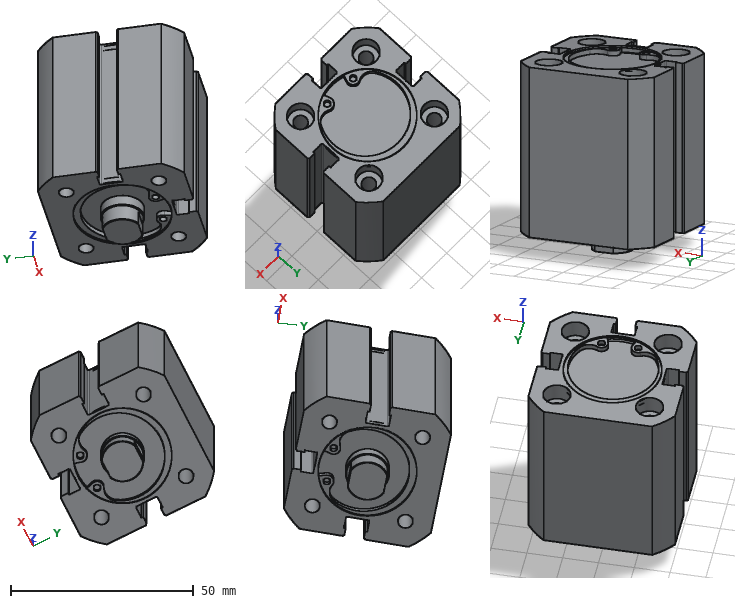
import cadquery as cq
import math

width = 41.0
overall_height = 54.0
rod_projection = 6.0
housing_height = overall_height - rod_projection
corner_radius = 25.5

slot_mouth_width = 5.4
slot_inner_width = 6.55
slot_lip_depth = 2.5
slot_floor_distance = 14.5
slot_edge_chamfer = 0.45
slot_floor_fillet = 0.4

hole_offset = 12.95
hole_diameter = 4.1
counterbore_diameter = 7.55
counterbore_depth = 5.0

bore_radius = 13.5
ring_inset = 0.55
ring_thickness = 1.45
ring_bottoms = (ring_inset, housing_height - ring_inset - ring_thickness)
groove_radius = 14.35

ring_inner_radius = 12.5
ring_eccentricity = 0.95
ring_gap_half_angle = math.radians(17)
ear_x = 5.15
ear_y = -10.35
ear_hole_radius = 0.95
ear_blend_radius = 3.55

cover_thickness = 6.5
cover_inset = ring_inset + ring_thickness
head_cover_bottom = housing_height - cover_inset - cover_thickness

rod_diameter = 12.0
rod_tip_diameter = 11.5
rod_shoulder_drop = 1.0
rod_across_flats = 10.0
rod_flat_drop = 2.05
rod_tip_chamfer = 0.15


def slot_cutter(angle):
    """T-slot through the full height, opening toward +X before it is turned by angle."""
    face = width / 2
    lip = face - slot_lip_depth
    mouth = slot_mouth_width / 2
    inner = slot_inner_width / 2
    half_outline = [
        (slot_floor_distance, inner),
        (lip, inner),
        (lip, mouth),
        (face - slot_edge_chamfer, mouth),
        (face, mouth + slot_edge_chamfer),
    ]
    other_half = [(x, -y) for x, y in reversed(half_outline)]
    cutter = cq.Workplane("XY").polyline(half_outline + other_half).close().extrude(housing_height)
    cutter = cutter.faces("<X").edges("|Z").fillet(slot_floor_fillet)
    return cutter.rotate((0, 0, 0), (0, 0, 1), angle)


def make_housing():
    body = cq.Workplane("XY").rect(width, width).extrude(housing_height)
    body = body.intersect(cq.Workplane("XY").circle(corner_radius).extrude(housing_height))
    for angle in (0, 180, 270):
        body = body.cut(slot_cutter(angle))
    body = (
        body.faces(">Z")
        .workplane(origin=(0, 0, housing_height))
        .rect(2 * hole_offset, 2 * hole_offset, forConstruction=True)
        .vertices()
        .cboreHole(hole_diameter, counterbore_diameter, counterbore_depth)
    )
    body = body.cut(cq.Workplane("XY").circle(bore_radius).extrude(housing_height))
    for bottom in ring_bottoms:
        groove = cq.Workplane("XY").workplane(offset=bottom).circle(groove_radius).extrude(ring_thickness)
        body = body.cut(groove)
    return body


def point_toward(start, end, distance):
    """Point at the given distance from start on the line through end."""
    scale = distance / math.dist(start, end)
    return (start[0] + scale * (end[0] - start[0]), start[1] + scale * (end[1] - start[1]))


def make_ring(bottom):
    inner_center = (0, -ring_eccentricity)
    ear = (ear_x, ear_y)

    ear_distance = math.hypot(ear_x, ear_y)
    ear_angle = math.atan2(ear_x, -ear_y) - ring_gap_half_angle
    ear_radius = ear_distance * math.sin(ear_angle)
    end_direction = (math.sin(ring_gap_half_angle), -math.cos(ring_gap_half_angle))
    end_outside = tuple(groove_radius * c for c in end_direction)
    end_inside = tuple(ear_distance * math.cos(ear_angle) * c for c in end_direction)

    to_ear = ear_radius + ear_blend_radius
    to_inner = ring_inner_radius - ear_blend_radius
    spacing = math.dist(inner_center, ear)
    cosine = (spacing**2 + to_inner**2 - to_ear**2) / (2 * spacing * to_inner)
    direction = math.atan2(ear_y - inner_center[1], ear_x) + math.acos(cosine)
    blend = (to_inner * math.cos(direction), inner_center[1] + to_inner * math.sin(direction))
    blend_at_ear = point_toward(ear, blend, ear_radius)
    blend_at_inner = point_toward(inner_center, blend, ring_inner_radius)

    ear_tip = point_toward((0, 0), ear, ear_distance - ear_radius)
    blend_toward = ((blend_at_ear[0] + blend_at_inner[0]) / 2, (blend_at_ear[1] + blend_at_inner[1]) / 2)
    blend_middle = point_toward(blend, blend_toward, ear_blend_radius)

    def mirrored(point):
        return (-point[0], point[1])

    ring = (
        cq.Workplane("XY")
        .workplane(offset=bottom)
        .moveTo(*end_outside)
        .threePointArc((0, groove_radius), mirrored(end_outside))
        .lineTo(*mirrored(end_inside))
        .threePointArc(mirrored(ear_tip), mirrored(blend_at_ear))
        .threePointArc(mirrored(blend_middle), mirrored(blend_at_inner))
        .threePointArc((0, ring_inner_radius - ring_eccentricity), blend_at_inner)
        .threePointArc(blend_middle, blend_at_ear)
        .threePointArc(ear_tip, end_inside)
        .close()
        .extrude(ring_thickness)
    )
    ear_holes = (
        cq.Workplane("XY")
        .workplane(offset=bottom)
        .pushPoints([ear, mirrored(ear)])
        .circle(ear_hole_radius)
        .extrude(ring_thickness)
    )
    return ring.cut(ear_holes)


def make_cover(bottom):
    return cq.Workplane("XY").workplane(offset=bottom).circle(bore_radius).extrude(cover_thickness)


def make_rod_cover():
    cover = make_cover(cover_inset)
    return cover.faces(">Z").workplane(origin=(0, 0, 0)).hole(rod_diameter)


def rod_flat_cutter():
    """Wedge-ended cutter for the -Y wrench flat, its upper end sloping out at 45 degrees."""
    flat = -rod_across_flats / 2
    outside = -rod_diameter / 2
    outline = [
        (flat, -rod_projection),
        (flat, -rod_flat_drop),
        (outside, -rod_flat_drop + flat - outside),
        (outside, -rod_projection),
    ]
    return cq.Workplane("YZ").polyline(outline).close().extrude(rod_diameter / 2, both=True)


def make_rod():
    """Rod from its tip, up through the rod cover, to the underside of the head cover."""
    tip = cq.Workplane("XY").workplane(offset=-rod_projection).circle(rod_tip_diameter / 2)
    tip = tip.extrude(rod_projection - rod_shoulder_drop).faces("<Z").chamfer(rod_tip_chamfer)
    flat_cutter = rod_flat_cutter()
    tip = tip.cut(flat_cutter).cut(flat_cutter.mirror("XZ"))
    shank = cq.Workplane("XY").workplane(offset=-rod_shoulder_drop).circle(rod_diameter / 2)
    shank = shank.extrude(head_cover_bottom + rod_shoulder_drop)

    shoulder_height = (rod_diameter - rod_tip_diameter) / 2
    shoulder = cq.Workplane("XY").workplane(offset=-rod_shoulder_drop).circle(rod_diameter / 2)
    shoulder = shoulder.extrude(-shoulder_height, taper=45)
    return shank.union(shoulder).union(tip)


housing = make_housing()
head_cover = make_cover(head_cover_bottom)
rod_cover = make_rod_cover()
rod = make_rod()
rings = [make_ring(bottom) for bottom in ring_bottoms]

result = cq.Compound.makeCompound(
    [housing.val(), head_cover.val(), rod_cover.val(), rod.val(), *[ring.val() for ring in rings]]
)